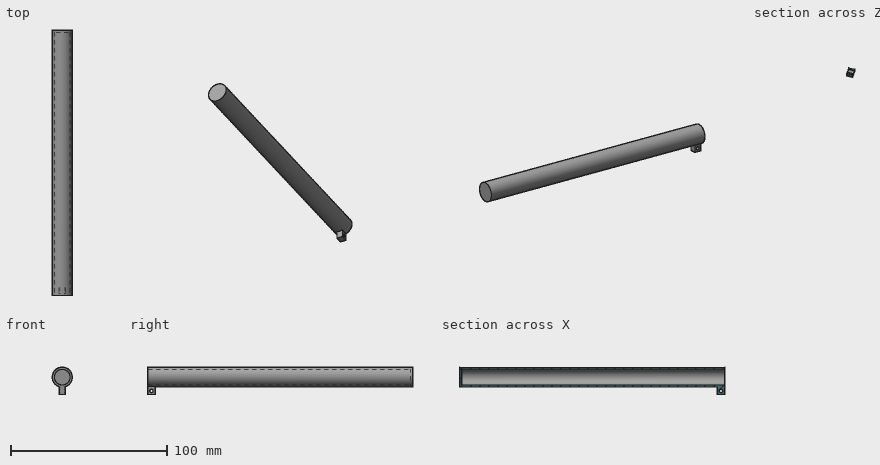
import cadquery as cq

length = 170.0
outer_diameter = 13.0
bore_diameter = 10.0
end_wall = (outer_diameter - bore_diameter) / 2

overall_height = 17.7
lug_width = 4.0
lug_length = 5.0
lug_hole_diameter = 2.0
lug_drop = overall_height - outer_diameter
outer_radius = outer_diameter / 2
lug_bottom = -(outer_radius + lug_drop)


def cylinder_along_y(diameter, depth):
    """Cylinder on the tube axis, running from the open end toward +Y."""
    return cq.Workplane("XZ").circle(diameter / 2).extrude(-depth)


def pierced_lug():
    """Square-cornered lug with a cross hole along X."""
    lug = cq.Workplane("XY").box(
        lug_width, lug_length, -lug_bottom, centered=(True, False, False)
    ).translate((0, 0, lug_bottom))
    hole = (
        cq.Workplane("YZ")
        .center(lug_length / 2, lug_bottom + lug_drop / 2)
        .circle(lug_hole_diameter / 2)
        .extrude(lug_width, both=True)
    )
    return lug.cut(hole)


tube = cylinder_along_y(outer_diameter, length)
bore = cylinder_along_y(bore_diameter, length - end_wall)

result = tube.union(pierced_lug()).cut(bore)